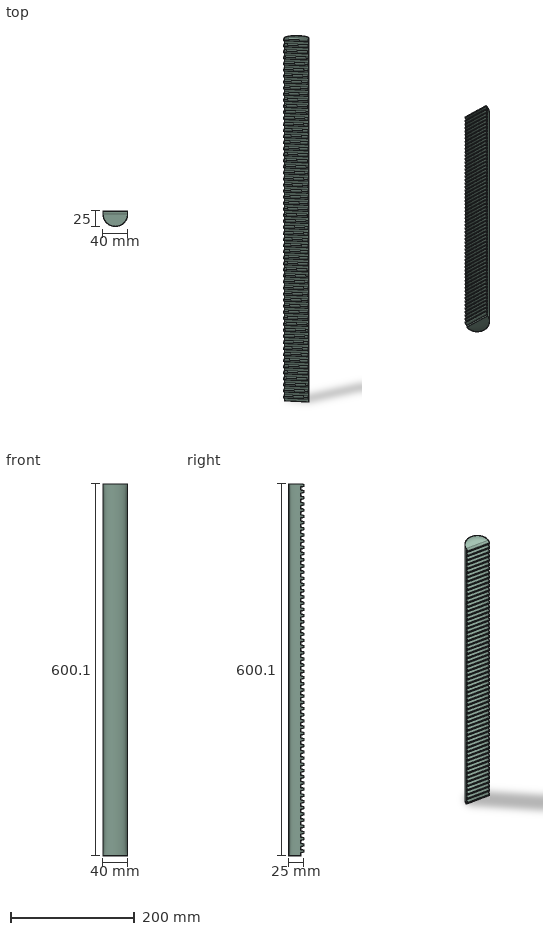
import cadquery as cq
import math

bar_radius = 20.0
overall_length = 600.07
overall_depth = 25.0
tooth_count = 60
tooth_pitch = 10.0
tooth_root_width = 5.14
flank_radius = 10.0

tooth_height = overall_depth - bar_radius
half_root = tooth_root_width / 2
flank_sweep = math.asin(tooth_height / flank_radius)


def half_round_bar():
    """Half cylinder along Z, with its flat face on Y = 0 and its round side toward -Y."""
    return (
        cq.Workplane("XY")
        .moveTo(-bar_radius, 0)
        .threePointArc((0, -bar_radius), (bar_radius, 0))
        .close()
        .extrude(overall_length)
    )


def flank_point(angle):
    """Height and half width of the tooth where its flank has turned by `angle` from the root.

    The centre of the flank arc lies on the flat face, so the flank leaves that face squarely.
    """
    height = flank_radius * math.sin(angle)
    half_width = half_root - flank_radius * (1 - math.cos(angle))
    return height, half_width


def rack_tooth():
    """One full-width tooth with convex flanks, centred on Z = 0 and standing on the flat face."""
    mid_height, half_mid = flank_point(flank_sweep / 2)
    tip_height, half_tip = flank_point(flank_sweep)
    return (
        cq.Workplane("YZ")
        .moveTo(0, -half_root)
        .threePointArc((mid_height, -half_mid), (tip_height, -half_tip))
        .lineTo(tip_height, half_tip)
        .threePointArc((mid_height, half_mid), (0, half_root))
        .close()
        .extrude(bar_radius, both=True)
    )


def tooth_row():
    """All the teeth, evenly pitched downward from one whose root is flush with the top end."""
    tooth = rack_tooth().val()
    top_tooth_z = overall_length - half_root
    return [
        tooth.translate(cq.Vector(0, 0, top_tooth_z - index * tooth_pitch))
        for index in range(tooth_count)
    ]


bar = half_round_bar().val()
result = cq.Workplane(bar.fuse(*tooth_row()))